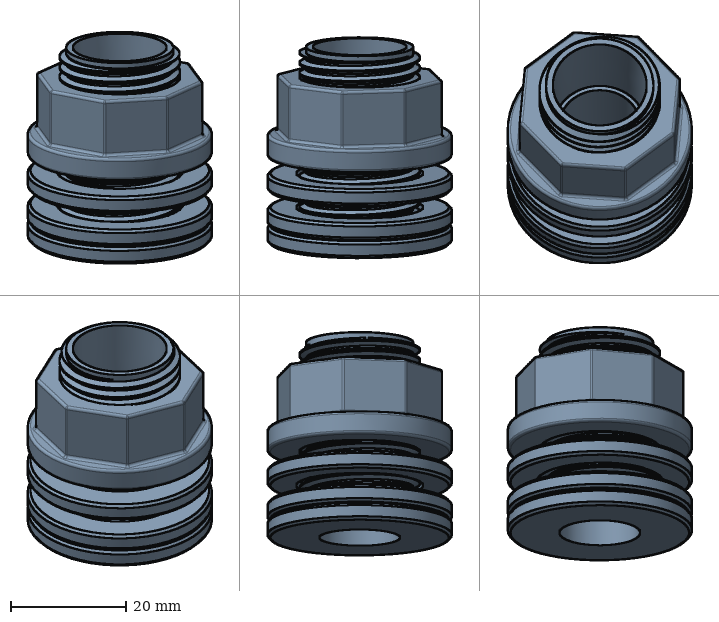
import cadquery as cq


TOTAL_HEIGHT = 34.5
DISC_DIAMETER = 32.0
DISC_THICKNESS = 3.0
EDGE_BREAK = 0.52

CORE_DIAMETER = 18.63
BORE_DIAMETER = 14.0
SOCKET_FLOOR_Z = 20.7
SOCKET_FLOOR_DIAMETER = 15.73
SOCKET_MOUTH_DIAMETER = 16.3

THREAD_DIAMETER = 20.95
THREAD_TURNS = 19
THREAD_RISE = 34.5
THREAD_PITCH = THREAD_RISE / THREAD_TURNS
THREAD_START_Z = 0.83
THREAD_TOP_Z = 33.55
RIDGE_ROOT_WIDTH = 1.4
RIDGE_CREST_WIDTH = 0.2
RIDGE_OVERLAP = 0.17

WASHER_BORE_DIAMETER = 22.0
WASHER_BOTTOMS_Z = (3.2, 9.2)

NUT_BOTTOM_Z = 15.18
NUT_FLANGE_THICKNESS = 4.0
NUT_OCTAGON_HEIGHT = 10.0
NUT_SIDES = 8
NUT_ACROSS_FLATS = 27.0


def make_disc():
    """Disc standing on Z = 0, chamfered on both rims."""
    disc = cq.Workplane("XY").circle(DISC_DIAMETER / 2).extrude(DISC_THICKNESS)
    return disc.edges().chamfer(EDGE_BREAK)


def make_thread():
    """Right-handed trapezoidal ridge around the core, cut flat at its top."""
    core_radius = CORE_DIAMETER / 2
    crest_radius = THREAD_DIAMETER / 2
    inner_radius = core_radius - RIDGE_OVERLAP
    half_crest = RIDGE_CREST_WIDTH / 2
    flank_slope = (RIDGE_ROOT_WIDTH / 2 - half_crest) / (crest_radius - core_radius)
    half_inner = half_crest + flank_slope * (crest_radius - inner_radius)
    profile = (
        cq.Workplane("XZ")
        .moveTo(inner_radius, THREAD_START_Z - half_inner)
        .lineTo(crest_radius, THREAD_START_Z - half_crest)
        .lineTo(crest_radius, THREAD_START_Z + half_crest)
        .lineTo(inner_radius, THREAD_START_Z + half_inner)
        .close()
    )
    helix = cq.Wire.makeHelix(THREAD_PITCH, THREAD_RISE, core_radius, cq.Vector(0, 0, THREAD_START_Z))
    ridge = profile.sweep(cq.Workplane(helix), isFrenet=True)
    kept_zone = cq.Workplane("XY").circle(DISC_DIAMETER / 2).extrude(THREAD_TOP_Z)
    return ridge.intersect(kept_zone)


def make_bore():
    """Stepped bore: a plain passage below and a slightly tapered socket above."""
    return (
        cq.Workplane("XZ")
        .lineTo(BORE_DIAMETER / 2, 0)
        .lineTo(BORE_DIAMETER / 2, SOCKET_FLOOR_Z)
        .lineTo(SOCKET_FLOOR_DIAMETER / 2, SOCKET_FLOOR_Z)
        .lineTo(SOCKET_MOUTH_DIAMETER / 2, TOTAL_HEIGHT)
        .lineTo(0, TOTAL_HEIGHT)
        .close()
        .revolve(360, (0, 0), (0, 1))
    )


def make_tube():
    """Threaded tube with its flange at the bottom."""
    core = cq.Workplane("XY").circle(CORE_DIAMETER / 2).extrude(TOTAL_HEIGHT)
    return core.union(make_thread()).union(make_disc()).cut(make_bore())


def make_washer(bottom_z):
    """Chamfered washer that clears the thread."""
    hole = cq.Workplane("XY").circle(WASHER_BORE_DIAMETER / 2).extrude(DISC_THICKNESS)
    return make_disc().cut(hole).translate((0, 0, bottom_z))


def make_nut():
    """Octagonal nut on a round flange, with rounded edges and a bore on the thread crest."""
    flange_top_z = NUT_BOTTOM_Z + NUT_FLANGE_THICKNESS
    flange = (
        cq.Workplane("XY", origin=(0, 0, NUT_BOTTOM_Z))
        .circle(DISC_DIAMETER / 2)
        .extrude(NUT_FLANGE_THICKNESS)
        .edges()
        .fillet(EDGE_BREAK)
    )
    octagon = (
        cq.Workplane("XY", origin=(0, 0, flange_top_z))
        .polygon(NUT_SIDES, NUT_ACROSS_FLATS, circumscribed=True)
        .extrude(NUT_OCTAGON_HEIGHT)
        .edges("|Z")
        .fillet(EDGE_BREAK)
        .faces(">Z")
        .edges()
        .fillet(EDGE_BREAK)
    )
    at_flange_top = cq.selectors.BoxSelector(
        (-DISC_DIAMETER, -DISC_DIAMETER, flange_top_z - EDGE_BREAK / 2),
        (DISC_DIAMETER, DISC_DIAMETER, flange_top_z + EDGE_BREAK / 2),
    )
    foot = flange.union(octagon).edges(at_flange_top).filter(lambda edge: edge.Length() < NUT_ACROSS_FLATS)
    thread_bore = (
        cq.Workplane("XY", origin=(0, 0, NUT_BOTTOM_Z))
        .circle(THREAD_DIAMETER / 2)
        .extrude(NUT_FLANGE_THICKNESS + NUT_OCTAGON_HEIGHT)
    )
    return foot.fillet(EDGE_BREAK).cut(thread_bore)


tube = make_tube()
nut = make_nut()
washers = [make_washer(bottom_z) for bottom_z in WASHER_BOTTOMS_Z]

result = cq.Compound.makeCompound([tube.val(), nut.val(), *[washer.val() for washer in washers]])